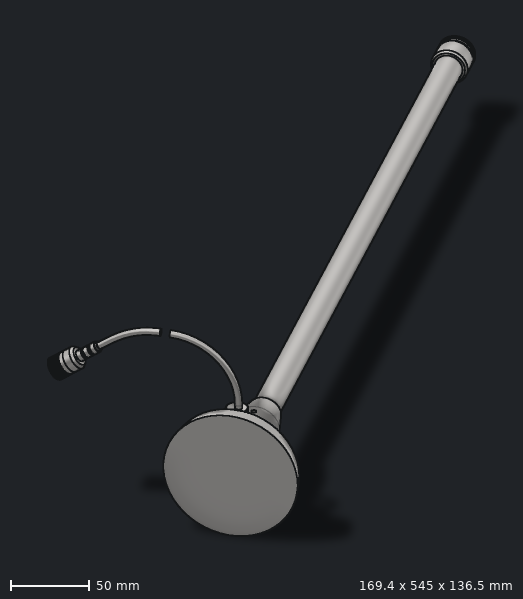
import cadquery as cq
import math

base_rim_height = 12.0
base_top = 26.5
sleeve_cone_start = 62.0
sleeve_top = 82.5
sleeve_neck_length = 1.5
cap_bottom = 523.0
mast_top = 545.0

base_radius = 44.5
base_rim_radius = 42.5
boss_diameter = 14.5
boss_face_diameter = 13.5
boss_end = 42.0

sleeve_diameter = 31.0
sleeve_top_diameter = 23.0
set_screw_diameter = 3.2
set_screw_depth = 3.0
set_screw_height = 56.0

tube_diameter = 18.5
cap_diameter = 24.5
cap_skirt_length = 1.5
cap_skirt_diameter = 22.0
cap_groove_diameter = 23.5
cap_groove_width = 3.0
cap_head_height = 4.5
cap_dome_height = 2.0

cable_height = 16.0
cable_diameter = 5.0
cable_root_x = 1.0
cable_root_straight = 2.5
cable_bend_radius = 45.0
cable_gap = 6.5
plug_cable_bend_radius = 56.0
plug_cable_straight = 8.5
plug_angle = 37.0

stem_length = 16.5
stem_diameter = 7.5
stem_groove_diameter = 6.0
stem_groove_count = 3
stem_groove_width = 1.5
barrel_length = 7.5
barrel_taper_length = 2.0
barrel_rear_diameter = 12.5
nut_length = 12.5
nut_diameter = 16.0
nut_bore_diameter = 11.5
nut_bore_depth = 10.0
knurl_length = 8.5
knurl_count = 24
knurl_width = 0.8
knurl_depth = 0.65
insulator_diameter = 8.0
insulator_bore_diameter = 5.0
insulator_length = 8.5
pin_diameter = 1.5
pin_length = 6.5


def turned(points, plane=cq.Plane.XY()):
    """Revolve an outline of (radius, height) points about the plane's local Y axis."""
    return cq.Workplane(plane).polyline(points).close().revolve(360, (0, 0, 0), (0, 1, 0))


def z_cylinder(x, y, z_start, z_end, diameter):
    return (
        cq.Workplane("XY", origin=(x, y, z_start))
        .circle(diameter / 2)
        .extrude(z_end - z_start)
    )


def make_base():
    disc = turned([
        (0, 0),
        (base_radius, 0),
        (base_rim_radius, base_rim_height),
        (sleeve_diameter / 2, base_top),
        (0, base_top),
    ])
    boss = z_cylinder(0, cable_height, 0, boss_end, boss_diameter)
    chamfer = (boss_diameter - boss_face_diameter) / 2
    return disc.union(boss.faces(">Z").chamfer(chamfer))


def make_sleeve():
    radius = sleeve_diameter / 2
    top_radius = sleeve_top_diameter / 2
    sleeve = turned([
        (0, base_top),
        (radius, base_top),
        (radius, sleeve_cone_start),
        (top_radius, sleeve_top - sleeve_neck_length),
        (tube_diameter / 2, sleeve_top),
        (0, sleeve_top),
    ])
    hole_floor = radius - set_screw_depth
    hole = z_cylinder(0, set_screw_height, hole_floor, radius, set_screw_diameter)
    for angle in (0, -90):
        sleeve = sleeve.cut(hole.rotate((0, 0, 0), (0, 1, 0), angle))
    return sleeve


def make_tube():
    radius = tube_diameter / 2
    return turned([(0, sleeve_top), (radius, sleeve_top), (radius, cap_bottom), (0, cap_bottom)])


def make_cap():
    radius = cap_diameter / 2
    groove_radius = cap_groove_diameter / 2
    head_bottom = mast_top - cap_head_height
    groove_bottom = head_bottom - cap_groove_width
    body_bottom = cap_bottom + cap_skirt_length
    cap = turned([
        (0, cap_bottom),
        (cap_skirt_diameter / 2, cap_bottom),
        (radius, body_bottom),
        (radius, groove_bottom),
        (groove_radius, groove_bottom),
        (groove_radius, head_bottom),
        (radius, head_bottom),
        (radius, mast_top),
        (0, mast_top),
    ])
    dome_radius = (radius**2 + cap_dome_height**2) / (2 * cap_dome_height)
    dome = cq.Workplane("XY", origin=(0, mast_top - dome_radius, 0)).sphere(dome_radius)
    return cap.intersect(dome)


bend_start_z = boss_end + cable_root_straight
cable_top_z = bend_start_z + cable_bend_radius
base_cable_end_x = cable_root_x - cable_bend_radius
plug_cable_end_x = base_cable_end_x - cable_gap
plug_sine = math.sin(math.radians(plug_angle))
plug_cosine = math.cos(math.radians(plug_angle))
plug_bend_x = plug_cable_end_x - plug_cable_bend_radius * plug_sine
plug_bend_z = cable_top_z - plug_cable_bend_radius * (1 - plug_cosine)
stem_end_x = plug_bend_x - plug_cable_straight * plug_cosine
stem_end_z = plug_bend_z - plug_cable_straight * plug_sine


def make_base_cable():
    """Cable that rises from the boss and bends through a quarter circle toward -X."""
    straight = z_cylinder(cable_root_x, cable_height, boss_end, bend_start_z, cable_diameter)
    bend = (
        cq.Workplane("XY", origin=(cable_root_x, cable_height, bend_start_z))
        .circle(cable_diameter / 2)
        .revolve(90, (-cable_bend_radius, 0, 0), (-cable_bend_radius, -1, 0))
    )
    return straight.union(bend)


plug_plane = cq.Plane(
    origin=(stem_end_x, cable_height, stem_end_z),
    xDir=(0, 1, 0),
    normal=(-plug_sine, 0, plug_cosine),
)
nut_start = stem_length + barrel_length
nut_end = nut_start + nut_length
bore_bottom = nut_end - nut_bore_depth


def make_plug_cable():
    """Cable that curves down from level to the slope of the plug."""
    path = cq.Workplane("XZ", origin=(0, cable_height, 0)).spline(
        [(plug_cable_end_x, cable_top_z), (stem_end_x, stem_end_z)],
        tangents=[(-1, 0), (-plug_cosine, -plug_sine)],
    )
    return (
        cq.Workplane("YZ", origin=(plug_cable_end_x, cable_height, cable_top_z))
        .circle(cable_diameter / 2)
        .sweep(path)
    )


def make_plug_body():
    """Grooved stem, barrel, and the insulator and pin inside the nut."""
    stem_radius = stem_diameter / 2
    groove_radius = stem_groove_diameter / 2
    pitch = stem_length / stem_groove_count
    outline = [(0, 0)]
    for i in range(stem_groove_count):
        groove_start = i * pitch
        groove_end = groove_start + stem_groove_width
        outline += [
            (groove_radius, groove_start),
            (groove_radius, groove_end),
            (stem_radius, groove_end),
            (stem_radius, groove_start + pitch),
        ]
    outline += [
        (barrel_rear_diameter / 2, stem_length),
        (nut_diameter / 2, stem_length + barrel_taper_length),
        (nut_diameter / 2, nut_start),
        (insulator_diameter / 2, nut_start),
        (insulator_diameter / 2, bore_bottom + insulator_length),
        (insulator_bore_diameter / 2, bore_bottom + insulator_length),
        (insulator_bore_diameter / 2, bore_bottom),
        (pin_diameter / 2, bore_bottom),
        (pin_diameter / 2, bore_bottom + pin_length),
        (0, bore_bottom + pin_length),
    ]
    return turned(outline, plug_plane)


def make_nut():
    radius = nut_diameter / 2
    bore_radius = nut_bore_diameter / 2
    insulator_radius = insulator_diameter / 2
    knurl_start = nut_end - knurl_length
    nut = turned([
        (insulator_radius, nut_start),
        (radius, nut_start),
        (radius, nut_end),
        (bore_radius, nut_end),
        (bore_radius, bore_bottom),
        (insulator_radius, bore_bottom),
    ], plug_plane)
    knurl_origin = plug_plane.toWorldCoords((0, knurl_start, 0))
    grooves = (
        cq.Workplane(cq.Plane(knurl_origin, (0, 1, 0), plug_plane.yDir))
        .polarArray(radius, 0, 360, knurl_count)
        .rect(2 * knurl_depth, knurl_width)
        .extrude(knurl_length)
    )
    return nut.cut(grooves)


base = make_base()
sleeve = make_sleeve()
tube = make_tube()
cap = make_cap()
base_cable = make_base_cable()
plug_cable = make_plug_cable()
plug_body = make_plug_body()
nut = make_nut()

bodies = [base, sleeve, tube, cap, base_cable, plug_cable, plug_body, nut]
result = cq.Compound.makeCompound([body.val() for body in bodies])